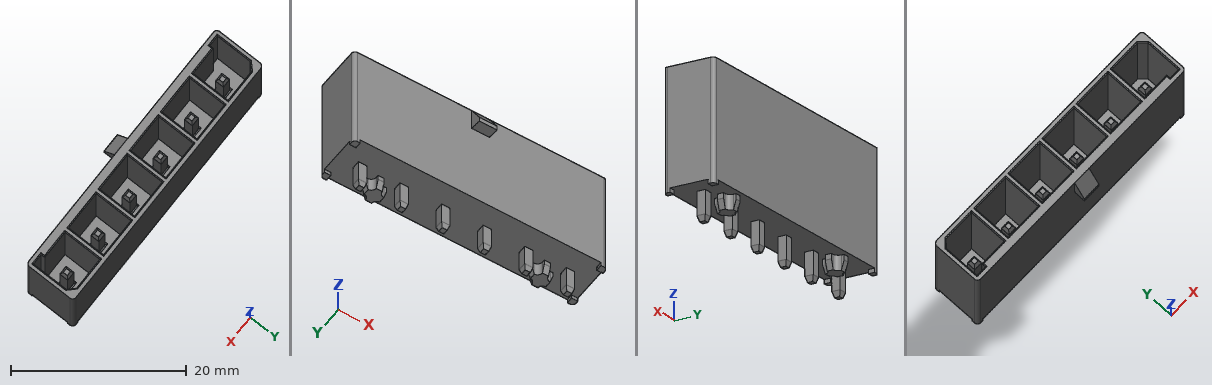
import cadquery as cq


length = 34.85
depth = 6.83
height = 14.8
corner_radius = 0.5
foot_size = 0.87
foot_height = 0.52

pin_count = 6
pitch = 5.7
pin_width = 1.15
pin_bottom = -3.7
pin_top = 8.7
pin_tip_length = 0.73
bottom_tip_width = 0.7
top_tip_width = 0.6

floor_thickness = 2.1
cavity_size = 5.05
cavity_back = 2.8
cavity_lead_in = 0.15
pin_recess_depth = 0.2
end_wall = 0.55
corner_cut = 0.85
notch_width = 1.4
notch_front_wall = 0.63

latch_width = 2.45
latch_reach = 1.55
latch_ramp_drop = 2.58
latch_root_drop = 3.05
latch_tip_drop = 3.25

peg_y = 1.35
peg_width = 2.93
peg_bottom_width = 2.15
peg_arm_width = 0.85
peg_inner_radius = 0.7
peg_length = 1.88
peg_straight_length = 0.65

half_length = length / 2
half_depth = depth / 2
cavity_front = cavity_back - cavity_size
pin_positions = [(i - (pin_count - 1) / 2) * pitch for i in range(pin_count)]
peg_offset = pin_positions[-1] - pitch / 2


def square_taper(x, z_start, width_start, z_end, width_end):
    """Square frustum centred on a pin axis."""
    return (
        cq.Workplane("XY", origin=(x, 0, z_start))
        .rect(width_start, width_start)
        .workplane(offset=z_end - z_start)
        .rect(width_end, width_end)
        .loft(ruled=True)
    )


def make_housing():
    """Rounded block that stands on four corner feet."""
    block = (
        cq.Workplane("XY", origin=(0, 0, -foot_height))
        .rect(length, depth)
        .extrude(height + foot_height)
        .edges("|Z")
        .fillet(corner_radius)
    )
    for size_x, size_y in ((length - 2 * foot_size, depth), (length, depth - 2 * foot_size)):
        channel = cq.Workplane("XY", origin=(0, 0, -foot_height)).rect(size_x, size_y).extrude(foot_height)
        block = block.cut(channel)
    return block


def square_cavity_outline(x):
    left = x - cavity_size / 2
    right = x + cavity_size / 2
    return [(left, cavity_front), (right, cavity_front), (right, cavity_back), (left, cavity_back)]


def end_cavity_outline(side):
    """End cavity with a cut back corner and a keying notch; side is -1 or 1."""
    inner = pin_positions[-1] - cavity_size / 2
    outer = half_length - end_wall
    notch_front = notch_front_wall - half_depth
    outline = [
        (inner, cavity_front),
        (outer - notch_width, cavity_front),
        (outer - notch_width, notch_front),
        (outer, notch_front),
        (outer, cavity_back - corner_cut),
        (outer - corner_cut, cavity_back),
        (inner, cavity_back),
    ]
    return [(side * x, y) for x, y in outline]


def make_cavity(outline):
    """Well from the rim to the floor, widened at the rim by a lead-in chamfer."""
    well = (
        cq.Workplane("XY", origin=(0, 0, floor_thickness))
        .polyline(outline)
        .close()
        .extrude(height - floor_thickness)
    )
    rim = (
        cq.Workplane("XY", origin=(0, 0, height))
        .polyline(outline)
        .close()
        .offset2D(cavity_lead_in, "intersection")
        .extrude(-cavity_lead_in, taper=45)
    )
    return well.union(rim)


def make_pin_recess(x):
    """Shallow funnel in the cavity floor that narrows to the pin."""
    mouth_width = pin_width + 2 * pin_recess_depth
    return square_taper(x, floor_thickness - pin_recess_depth, pin_width, floor_thickness, mouth_width)


def make_pin(x):
    shank_bottom = pin_bottom + pin_tip_length
    shank_top = pin_top - pin_tip_length
    shank = (
        cq.Workplane("XY", origin=(x, 0, shank_bottom))
        .rect(pin_width, pin_width)
        .extrude(shank_top - shank_bottom)
    )
    bottom_tip = square_taper(x, pin_bottom, bottom_tip_width, shank_bottom, pin_width)
    top_tip = square_taper(x, shank_top, pin_width, pin_top, top_tip_width)
    return shank.union(bottom_tip).union(top_tip)


def make_latch():
    """Ramp that leans out from the rim of the front face and ends in an undercut nose."""
    front = -half_depth
    nose = front - latch_reach
    return (
        cq.Workplane("YZ")
        .moveTo(front, height)
        .lineTo(nose, height - latch_ramp_drop)
        .lineTo(nose, height - latch_tip_drop)
        .lineTo(front, height - latch_root_drop)
        .close()
        .extrude(latch_width / 2, both=True)
    )


def make_peg(x):
    """Cross of four arms with concave inner corners; the arm ends taper towards the bottom."""
    taper_start = -peg_straight_length
    peg = square_taper(0, taper_start, peg_width, -peg_length, peg_bottom_width)
    peg = peg.union(cq.Workplane("XY").rect(peg_width, peg_width).extrude(taper_start))
    quadrant_size = (peg_width - peg_arm_width) / 2
    quadrant = (
        cq.Workplane("XY", origin=(peg_arm_width / 2, peg_arm_width / 2, 0))
        .rect(quadrant_size, quadrant_size, centered=False)
        .extrude(-peg_length)
        .edges("|Z and <X and <Y")
        .fillet(peg_inner_radius)
    )
    for angle in (0, 90, 180, 270):
        peg = peg.cut(quadrant.rotate((0, 0, 0), (0, 0, 1), angle))
    return peg.translate((x, peg_y, 0))


result = make_housing()

cavity_outlines = [square_cavity_outline(x) for x in pin_positions[1:-1]]
cavity_outlines += [end_cavity_outline(side) for side in (-1, 1)]
for outline in cavity_outlines:
    result = result.cut(make_cavity(outline))

for x in pin_positions:
    result = result.cut(make_pin_recess(x)).union(make_pin(x))

for x in (-peg_offset, peg_offset):
    result = result.union(make_peg(x))

result = result.union(make_latch())